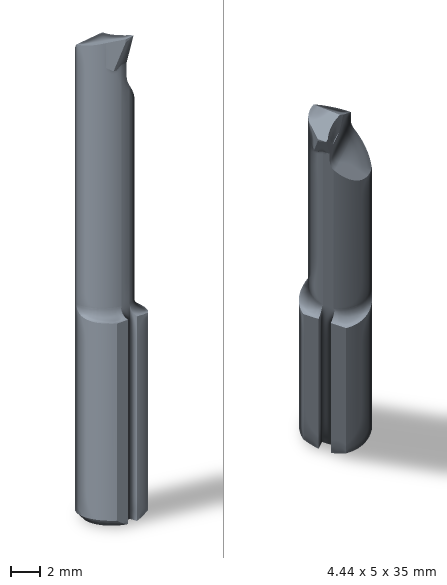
import cadquery as cq
import math

length = 35.0
shank_radius = 2.502
flat_x = 1.942
tail_chamfer = 0.52

neck_radius = 2.188
neck_x = -0.858
shoulder_z = 14.7
shoulder_fillet = 0.8
neck_right_x = neck_x + neck_radius

groove_width = 0.9
groove_floor_x = neck_right_x - 0.05

rake_y = 0.1
relief_start_z = 32.02
relief_fillet = 1.33
runout_angle = math.radians(41.5)

chip_groove_x = 0.15
chip_groove_radius = 4.2
chip_groove_depth = 0.25
chip_groove_length = 1.75

tip_x = 1.92
end_slope_x = 0.125
end_slope_y = 0.18
back_chamfer_z = 32.97

tooth_flat_x = 0.788
tooth_edge_x = 1.82
tooth_edge_y = -0.55
tooth_heel_z = 32.8
tooth_root_x = 1.2
tooth_root_z = 32.55
nose_x = 1.85
nose_z = 34.75

margin = 3.5


def make_shank():
    shank = cq.Workplane("XY").circle(shank_radius).extrude(length)
    shank = shank.faces("<Z").chamfer(tail_chamfer)
    flat_cut = cq.Workplane("XY").box(margin, 4 * margin, length, centered=(False, True, False))
    return shank.cut(flat_cut.translate((flat_x, 0, 0)))


def make_neck_envelope():
    """Revolve the neck and its shoulder, wide enough to contain the whole shank below."""
    outer_radius = shank_radius + margin
    fillet_top_z = shoulder_z + shoulder_fillet
    fillet_center_r = neck_radius + shoulder_fillet
    fillet_mid_offset = shoulder_fillet * math.cos(math.pi / 4)
    return (
        cq.Workplane("XZ")
        .lineTo(outer_radius, 0)
        .lineTo(outer_radius, shoulder_z)
        .lineTo(fillet_center_r, shoulder_z)
        .threePointArc(
            (fillet_center_r - fillet_mid_offset, fillet_top_z - fillet_mid_offset),
            (neck_radius, fillet_top_z),
        )
        .lineTo(neck_radius, length)
        .lineTo(0, length)
        .close()
        .revolve(360, (0, 0, 0), (0, 1, 0))
        .translate((neck_x, 0, 0))
    )


def make_tooth():
    """Intersect the side profile of the tooth with its plan outline."""
    flank_y = -math.sqrt(neck_radius**2 - (tooth_flat_x - neck_x) ** 2)
    profile = (
        cq.Workplane("XZ")
        .polyline([
            (0, tooth_heel_z),
            (tooth_flat_x, tooth_heel_z),
            (tooth_root_x, tooth_root_z),
            (nose_x, nose_z),
            (tip_x, length),
            (0, length),
        ])
        .close()
        .extrude(margin, both=True)
    )
    plan = (
        cq.Workplane("XY")
        .polyline([
            (0, rake_y),
            (tip_x, rake_y),
            (tooth_edge_x, tooth_edge_y),
            (tooth_flat_x, flank_y),
            (0, flank_y),
        ])
        .close()
        .extrude(length)
    )
    return profile.intersect(plan)


def make_groove_cut():
    groove = cq.Workplane("XY").box(margin, groove_width, length, centered=(False, True, False))
    return groove.translate((groove_floor_x, 0, 0))


def make_rake_relief():
    arc_center_y = rake_y + relief_fillet

    def arc_point(angle):
        return (
            arc_center_y - relief_fillet * math.cos(angle),
            relief_start_z - relief_fillet * math.sin(angle),
        )

    runout_y, runout_z = arc_point(runout_angle)
    far_y = shank_radius + margin
    far_z = runout_z - (far_y - runout_y) / math.tan(runout_angle)
    return (
        cq.Workplane("YZ")
        .moveTo(rake_y, length + margin)
        .lineTo(rake_y, relief_start_z)
        .threePointArc(arc_point(runout_angle / 2), (runout_y, runout_z))
        .lineTo(far_y, far_z)
        .lineTo(far_y, length + margin)
        .close()
        .extrude(2 * margin, both=True)
    )


def make_chip_groove():
    tilt = math.degrees(math.atan2(chip_groove_depth, chip_groove_length))
    return (
        cq.Workplane("XY")
        .circle(chip_groove_radius)
        .extrude(2 * chip_groove_length, both=True)
        .rotate((0, 0, 0), (1, 0, 0), tilt)
        .translate((chip_groove_x, rake_y - chip_groove_depth + chip_groove_radius, length))
        .intersect(
            cq.Workplane("XY")
            .box(4 * margin, 4 * margin, 2 * chip_groove_length)
            .translate((0, 0, length))
        )
    )


def make_end_cut():
    """Everything above the end face, which falls away from the tip towards -X and -Y."""
    end_face = cq.Plane(
        origin=(tip_x, rake_y, length),
        xDir=(1, 0, end_slope_x),
        normal=(-end_slope_x, -end_slope_y, 1),
    )
    return cq.Workplane(end_face).rect(4 * margin, 4 * margin).extrude(margin)


def make_back_chamfer():
    run = length + margin - back_chamfer_z
    return (
        cq.Workplane("XZ")
        .polyline([
            (-shank_radius - margin, back_chamfer_z - margin),
            (-shank_radius + run, back_chamfer_z + run),
            (-shank_radius - margin, back_chamfer_z + run),
        ])
        .close()
        .extrude(2 * margin, both=True)
    )


body = make_shank().intersect(make_neck_envelope())
body = body.cut(make_groove_cut())
body = body.union(make_tooth())
body = body.cut(make_rake_relief())
body = body.cut(make_chip_groove())
body = body.cut(make_end_cut())
result = body.cut(make_back_chamfer())